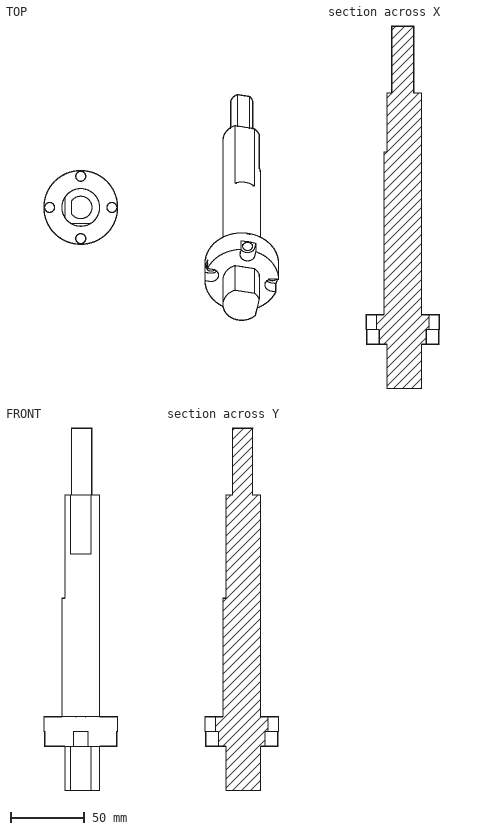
import cadquery as cq

flange_bottom = 30.0
flange_top = 50.0
shaft_top = 200.0
total_height = 245.0

shaft_diameter = 25.5
flange_diameter = 50.0
journal_diameter = 15.2

shaft_flat_offset = 10.8
journal_flat_offset = 6.4
front_flat_bottom = 160.0
side_flat_bottom = 130.0

hole_count = 4
hole_diameter = 6.5
hole_circle_radius = 21.0
slot_width = 10.0
slot_height = 10.0


def cylinder(diameter, bottom, top):
    return cq.Workplane("XY").workplane(offset=bottom).circle(diameter / 2).extrude(top - bottom)


def flat_cutter(offset, bottom, top, angle):
    """Block beyond a flat facing -X, turned about the shaft axis by angle."""
    block = cq.Workplane("XY").box(
        shaft_diameter, shaft_diameter, top - bottom, centered=(False, True, False)
    )
    block = block.translate((-offset - shaft_diameter, 0, bottom))
    return block.rotate((0, 0, 0), (0, 0, 1), angle)


def hole_and_slot(angle):
    """Through hole plus a round-ended radial slot in the flange underside."""
    hole = cylinder(hole_diameter, flange_bottom, flange_top)
    slot_end = cylinder(slot_width, flange_bottom, flange_bottom + slot_height)
    slot_mouth = cq.Workplane("XY").box(
        flange_diameter / 2, slot_width, slot_height, centered=(False, True, False)
    ).translate((0, 0, flange_bottom))
    cutter = hole.union(slot_end).union(slot_mouth).translate((hole_circle_radius, 0, 0))
    return cutter.rotate((0, 0, 0), (0, 0, 1), angle)


side = 0
front = 90

lower_end = cylinder(shaft_diameter, 0, flange_bottom)
for direction in (side, front):
    lower_end = lower_end.cut(flat_cutter(shaft_flat_offset, 0, flange_bottom, direction))

flange = cylinder(flange_diameter, flange_bottom, flange_top)
for index in range(hole_count):
    flange = flange.cut(hole_and_slot(index * 360 / hole_count))

shaft = cylinder(shaft_diameter, flange_top, shaft_top)
for direction, flat_bottom in ((side, side_flat_bottom), (front, front_flat_bottom)):
    shaft = shaft.cut(flat_cutter(shaft_flat_offset, flat_bottom, shaft_top, direction))

journal = cylinder(journal_diameter, shaft_top, total_height)
journal = journal.cut(flat_cutter(journal_flat_offset, shaft_top, total_height, side))

result = lower_end.union(flange).union(shaft).union(journal)